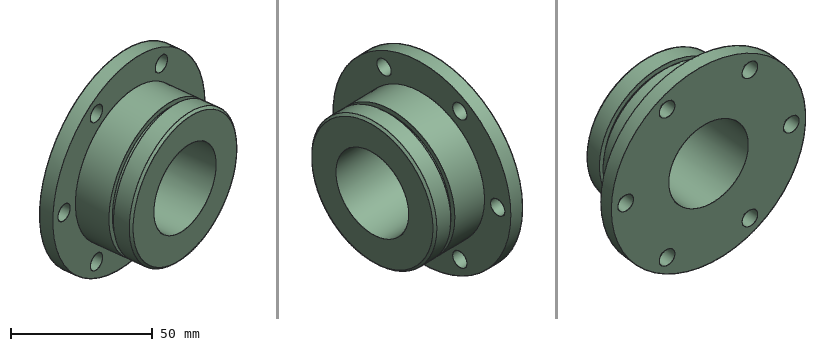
import cadquery as cq

flange_diameter = 88.0
flange_thickness = 6.0
total_length = 31.0

barrel_diameter = 61.95
end_chamfer = 1.0

groove_diameter = 58.0
groove_width = 2.0
groove_to_end = 8.0

bore_diameter = 36.0

bolt_hole_count = 6
bolt_hole_diameter = 7.0
bolt_circle_diameter = 75.0


def cylinder(diameter, start, length):
    """Solid cylinder around the X axis, beginning at X = start."""
    return cq.Workplane("YZ", origin=(start, 0, 0)).circle(diameter / 2).extrude(length)


def flanged_barrel():
    """Flange and barrel, with the free end of the barrel chamfered."""
    flange = cylinder(flange_diameter, 0, flange_thickness)
    barrel = cylinder(barrel_diameter, 0, total_length).faces(">X").edges().chamfer(end_chamfer)
    return flange.union(barrel)


def ring_groove():
    """Ring to remove from the outside of the barrel."""
    start = total_length - groove_to_end - groove_width
    outside = cylinder(barrel_diameter, start, groove_width)
    return outside.cut(cylinder(groove_diameter, start, groove_width))


def bolt_holes():
    """Through holes in the flange, with two of them on the Y axis."""
    return (
        cq.Workplane("YZ")
        .polarArray(bolt_circle_diameter / 2, 0, 360, bolt_hole_count)
        .circle(bolt_hole_diameter / 2)
        .extrude(flange_thickness)
    )


bore = cylinder(bore_diameter, 0, total_length)

result = flanged_barrel().cut(ring_groove()).cut(bore).cut(bolt_holes())